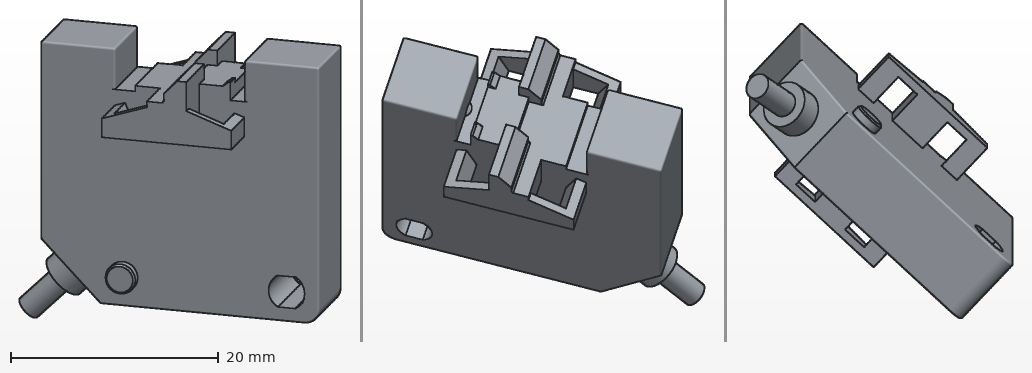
import cadquery as cq
import math

overall_length = 31.2

tower_width = 7.5
slot_width = 13.0
body_height = 25.98
body_thickness = 7.4
slot_depth = 4.15
cable_corner = 6.0
round_corner = 1.5
edge_round = 0.22

body_width = 2 * tower_width + slot_width
slot_left = tower_width
slot_right = slot_left + slot_width
slot_floor = body_height - slot_depth
half_thickness = body_thickness / 2

deck_start = slot_left + 2.03
deck_step = slot_left + 7.5
deck_end = slot_left + 11.6
low_deck = body_height - 3.6
high_deck = body_height - 2.78

clear_half_width = 2.18
lip_start = slot_left + 10.82
lip_crest = slot_left + 11.38
lip_top = body_height - 2.35

clip_depth = 16.0
clip_bottom = body_height - 7.65
clip_shoulder = body_height - 5.75
clip_slope_top = body_height - 4.18
clip_slope_run = 4.52
hook_foot = slot_left + 6.05
hook_face = slot_left + 6.25
hook_crest = slot_left + 7.55
hook_undercut = body_height - 3.27
hook_shoulder = body_height - 2.62
hook_top = body_height - 1.25

rib_left = slot_left + clip_slope_run
rib_right = slot_right - clip_slope_run
half_clip = clip_depth / 2

pocket_end_wall = 0.8
pocket_wall_at_top = 1.0
pocket_wall_at_bottom = 2.03

sleeve_diameter = 4.6
sleeve_length = 2.53
cable_diameter = 2.5

button_diameter = 3.0
button_height = 1.0
button_chamfer = 0.2
button_x = 8.25
button_z = 3.0

lens_diameter = 2.0
lens_reach = 0.4
lens_height = 0.62

hole_diameter = 3.62
hole_height = 3.18
hole_x = 24.73
hole_z = 3.0


def prism(points, y_start, y_end):
    """Extrude an XZ outline from y_start to y_end."""
    plane = cq.Workplane("XZ", origin=(0, y_start, 0))
    return plane.polyline(points).close().extrude(y_start - y_end)


def front_and_back(points, y_inner, y_outer):
    """The same prism on the -Y and the +Y side."""
    front = prism(points, -y_outer, -y_inner)
    return front.union(prism(points, y_inner, y_outer))


def make_plate():
    outline = [
        (cable_corner, 0),
        (body_width, 0),
        (body_width, slot_floor),
        (0, slot_floor),
        (0, cable_corner),
    ]
    plate = prism(outline, -half_thickness, half_thickness)
    plate = plate.edges("|Y and >X and <Z").fillet(round_corner)
    return plate.faces("|Y").edges("not >Z").fillet(edge_round)


def make_tower(x_start):
    base = cq.Workplane("XY", origin=(x_start, 0, slot_floor))
    tower = base.box(tower_width, body_thickness, slot_depth, centered=(False, True, False))
    return tower.edges("not <Z").fillet(edge_round)


def make_deck():
    steps = [
        (deck_start, slot_floor),
        (deck_end, slot_floor),
        (deck_end, high_deck),
        (deck_step, high_deck),
        (deck_step, low_deck),
        (deck_start, low_deck),
    ]
    lip = [
        (lip_start, high_deck),
        (deck_end, high_deck),
        (deck_end, lip_top),
        (lip_crest, lip_top),
    ]
    deck = prism(steps, -half_thickness, half_thickness)
    return deck.union(front_and_back(lip, clear_half_width, half_thickness))


def make_clip():
    outline = [
        (slot_left, clip_bottom),
        (slot_right, clip_bottom),
        (slot_right, clip_shoulder),
        (rib_right, clip_slope_top),
        (rib_right, hook_top),
        (hook_crest, hook_top),
        (hook_face, hook_shoulder),
        (hook_face, hook_undercut),
        (hook_foot, low_deck),
        (rib_left, low_deck),
        (rib_left, clip_slope_top),
        (slot_left, clip_shoulder),
    ]
    clip = front_and_back(outline, clear_half_width, half_clip)

    slope = (clip_slope_top - clip_shoulder) / clip_slope_run
    wall_top = clip_shoulder + slope * pocket_wall_at_top
    left_pocket = [
        (slot_left + pocket_wall_at_bottom, clip_bottom),
        (rib_left, clip_bottom),
        (rib_left, low_deck),
        (slot_left + pocket_wall_at_top, low_deck),
        (slot_left + pocket_wall_at_top, wall_top),
    ]
    right_pocket = [(slot_left + slot_right - x, z) for x, z in left_pocket]
    for pocket in (left_pocket, right_pocket):
        clip = clip.cut(front_and_back(pocket, half_thickness, half_clip - pocket_end_wall))
    return clip


def make_cable():
    middle = cable_corner / 2
    overhang = overall_length - body_width
    cable_length = (middle + overhang) * math.sqrt(2) - cable_diameter / 2
    corner_face = cq.Workplane(
        cq.Plane(origin=(middle, 0, middle), xDir=(0, 1, 0), normal=(-1, 0, -1))
    )
    sleeve = corner_face.circle(sleeve_diameter / 2).extrude(sleeve_length)
    return sleeve.union(corner_face.circle(cable_diameter / 2).extrude(cable_length))


def make_button():
    plane = cq.Workplane("XZ", origin=(button_x, -half_thickness, button_z))
    button = plane.circle(button_diameter / 2).extrude(button_height)
    return button.faces("<Y").chamfer(button_chamfer)


def make_lens():
    radius = lens_diameter / 2
    centre = (slot_right - lens_reach + radius, 0, slot_floor)
    lens = cq.Workplane("XY", origin=centre).circle(radius)
    return lens.extrude(lens_height, taper=45)


def make_hole():
    plane = cq.Workplane("XZ", origin=(hole_x, half_thickness, hole_z))
    bore = plane.circle(hole_diameter / 2).extrude(body_thickness)
    flats = plane.rect(hole_diameter, hole_height).extrude(body_thickness)
    return bore.intersect(flats)


body = make_plate()
for tower_start in (0, slot_right):
    body = body.union(make_tower(tower_start))

result = (
    body.union(make_deck())
    .union(make_clip())
    .union(make_cable())
    .union(make_button())
    .union(make_lens())
    .cut(make_hole())
    .clean()
)